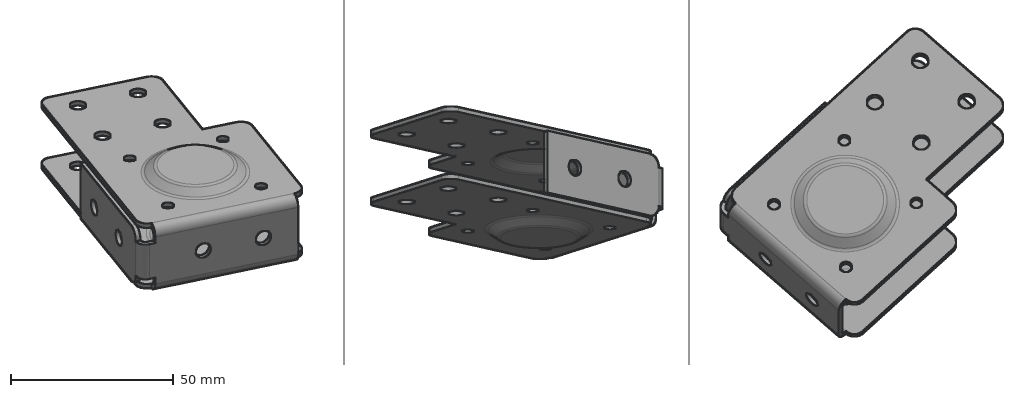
import cadquery as cq
import math

sheet = 1.6
inner_bend_radius = 1.6
outer_bend_radius = inner_bend_radius + sheet
corner_radius = 3.7

plate_gap = 20.0
plate_length = 83.0
plate_width = 55.0
arm_width = 40.0
step_x = 36.0
inner_z = plate_gap / 2
outer_z = inner_z + sheet

wall_outer_x = plate_length + outer_bend_radius
wall_start_y = corner_radius
wall_end_y = plate_width - corner_radius
wall_hole_ys = (19.7, 39.7)

flange_outer_y = -1.5
flange_inner_y = flange_outer_y + sheet
flange_edge_clearance = 0.1
flange_height = plate_gap - 2 * flange_edge_clearance
flange_length = 48.0
flange_start_x = wall_outer_x - flange_length
tab_height = flange_height - 2 * corner_radius
flange_hole_xs = (49.2, 69.2)

large_hole = 5.0
small_hole = 3.6
arm_hole_points = [(x, y) for x in (8.0, 28.0) for y in (10.0, 30.0)]

dome_x = 59.5
dome_y = 28.0
dome_hole_pitch = 31.0
dome_height = 2.6
dome_slope = math.radians(35)
dome_foot_radius = 16.15
dome_fillet = 1.85


def box(x_range, y_range, z_range):
    """Box between the given limits."""
    sides = [high - low for low, high in (x_range, y_range, z_range)]
    corner = (x_range[0], y_range[0], z_range[0])
    return cq.Workplane("XY").box(*sides, centered=False).translate(corner)


def dome_body(base_z, foot_radius):
    """Solid cone frustum with blended foot and crown, standing on base_z."""
    crown_radius = foot_radius - dome_height / math.tan(dome_slope)
    top_z = base_z + dome_height
    setback = dome_fillet * math.tan(dome_slope / 2)
    slope_dx = setback * math.cos(dome_slope)
    slope_dz = setback * math.sin(dome_slope)
    return (
        cq.Workplane("XZ")
        .moveTo(0, base_z)
        .lineTo(foot_radius + setback, base_z)
        .radiusArc((foot_radius - slope_dx, base_z + slope_dz), dome_fillet)
        .lineTo(crown_radius + slope_dx, top_z - slope_dz)
        .radiusArc((crown_radius - setback, top_z), -dome_fillet)
        .lineTo(0, top_z)
        .close()
        .revolve(360, (0, 0, 0), (0, 1, 0))
        .translate((dome_x, dome_y, 0))
    )


def upper_plate():
    """L-shaped plate with its pressed dome and holes."""
    z_range = (inner_z, outer_z)
    arm = box((0, step_x), (0, arm_width), z_range)
    arm = arm.edges("|Z and <X").fillet(corner_radius)
    head = box((step_x, plate_length), (0, plate_width), z_range)
    head = head.edges("|Z and (>X or >Y)").fillet(corner_radius)
    plate = arm.union(head)

    recess_foot_radius = dome_foot_radius - sheet
    plate = plate.union(dome_body(outer_z, dome_foot_radius))
    plate = plate.cut(dome_body(inner_z, recess_foot_radius))

    arm_holes = (
        cq.Workplane("XY", origin=(0, 0, inner_z))
        .pushPoints(arm_hole_points)
        .circle(large_hole / 2)
        .extrude(sheet)
    )
    dome_holes = (
        cq.Workplane("XY", origin=(dome_x, dome_y, inner_z))
        .rect(dome_hole_pitch, dome_hole_pitch, forConstruction=True)
        .vertices()
        .circle(small_hole / 2)
        .extrude(sheet)
    )
    return plate.cut(arm_holes).cut(dome_holes)


def end_wall():
    """Wall across the plate ends, bent into both plates, with two holes."""
    y_range = (wall_start_y, wall_end_y)
    outside = box((0, wall_outer_x), y_range, (-outer_z, outer_z))
    inside = box((0, wall_outer_x - sheet), y_range, (-inner_z, inner_z))
    channel = outside.edges("|Y and >X").fillet(outer_bend_radius)
    channel = channel.cut(inside.edges("|Y and >X").fillet(inner_bend_radius))
    wall = channel.intersect(box((plate_length, wall_outer_x), y_range, (-outer_z, outer_z)))
    holes = (
        cq.Workplane("YZ", origin=(plate_length, 0, 0))
        .pushPoints([(y, 0) for y in wall_hole_ys])
        .circle(large_hole / 2)
        .extrude(outer_bend_radius)
    )
    return wall.cut(holes)


def bend_tab():
    """Narrow bent strip from the end wall round to the side flange."""
    z_range = (-tab_height / 2, tab_height / 2)
    outside = box((0, wall_outer_x), (flange_outer_y, plate_width), z_range)
    inside = box((0, wall_outer_x - sheet), (flange_inner_y, plate_width), z_range)
    angle = outside.edges("|Z and >X and <Y").fillet(outer_bend_radius)
    angle = angle.cut(inside.edges("|Z and >X and <Y").fillet(inner_bend_radius))
    return angle.intersect(box((plate_length, wall_outer_x), (flange_outer_y, wall_start_y), z_range))


def side_flange():
    """Flat flange with two rounded corners beside the tab and two holes."""
    flange = box(
        (flange_start_x, plate_length),
        (flange_outer_y, flange_inner_y),
        (-flange_height / 2, flange_height / 2),
    )
    flange = flange.edges("|Y and >X").fillet(corner_radius)
    holes = (
        cq.Workplane("XZ", origin=(0, flange_inner_y, 0))
        .pushPoints([(x, 0) for x in flange_hole_xs])
        .circle(large_hole / 2)
        .extrude(sheet)
    )
    return flange.cut(holes)


top = upper_plate()
bottom = top.mirror("XY")
result = end_wall().union(top).union(bottom).union(bend_tab()).union(side_flange())